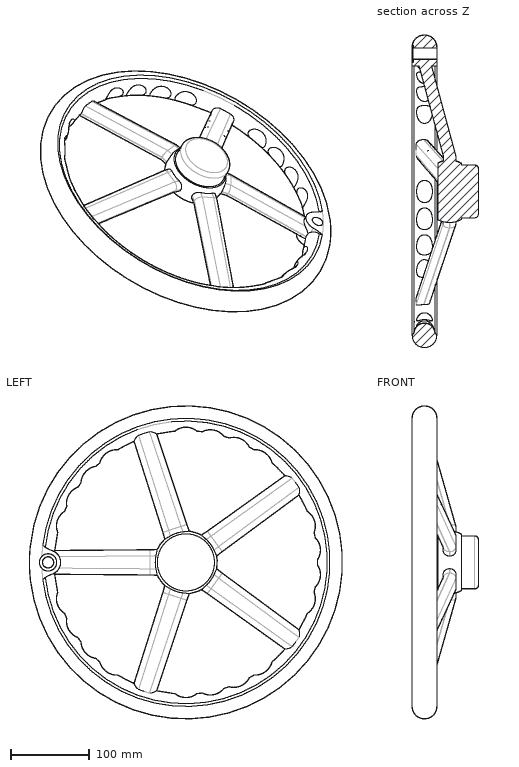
import cadquery as cq
import math


rim_outer_radius = 200.0
rim_tube_radius = 16.0
rim_width = 2 * rim_tube_radius
rim_crest_radius = rim_outer_radius - rim_tube_radius
rim_inner_radius = rim_crest_radius - rim_tube_radius
rim_ledge_radius = 180.5
rim_ledge_depth = 2.5

grip_radius = 22.0
grip_depth = 4.5
grips_per_sector = 4
grip_pitch = 12.0

hub_face_x = 33.0
hub_face_radius = 36.5
hub_bulge_x = 48.0
hub_bulge_radius = 40.2
hub_shoulder_x = 63.5
hub_shoulder_radius = 36.0
hub_neck_radius = 68.0 / 2
hub_neck_fillet = 5.0
hub_end_x = 85.0

spoke_count = 5
spoke_pitch = 360.0 / spoke_count
spoke_thickness = 16.5
spoke_corner_radius = 8.0
spoke_stub_width = 34.0
spoke_bend_width = 32.5
spoke_rim_width = 30.5
spoke_stub_x = 48.0
spoke_rim_x = 12.0
spoke_root_radius = 25.0
spoke_bend_radius = 45.6
spoke_tip_radius = 179.0

boss_center_radius = 176.0
boss_radius = 16.0
boss_hole_diameter = 14.0
spotface_diameter = 22.1
spotface_depth = 1.5
ear_start = (170.1, 14.8)
ear_middle = (176.2, 17.3)
ear_half_span = 21.8


def turn(body, angle):
    return body.rotate((0, 0, 0), (1, 0, 0), angle)


def make_rim():
    far_ledge_x = rim_width - rim_ledge_depth
    profile = (
        cq.Workplane("XY")
        .moveTo(0, rim_crest_radius)
        .threePointArc((rim_tube_radius, rim_outer_radius), (rim_width, rim_crest_radius))
        .lineTo(far_ledge_x, rim_ledge_radius)
        .threePointArc((rim_tube_radius, rim_inner_radius), (rim_ledge_depth, rim_ledge_radius))
        .close()
    )
    return profile.revolve(360, (0, 0, 0), (1, 0, 0))


def make_hub():
    body = (
        cq.Workplane("XY")
        .moveTo(hub_face_x, 0)
        .lineTo(hub_face_x, hub_face_radius)
        .threePointArc((hub_bulge_x, hub_bulge_radius), (hub_shoulder_x, hub_shoulder_radius))
        .lineTo(hub_shoulder_x, hub_neck_radius)
        .lineTo(hub_end_x, hub_neck_radius)
        .lineTo(hub_end_x, 0)
        .close()
        .revolve(360, (0, 0, 0), (1, 0, 0))
    )
    return body.faces(">X").edges().fillet(hub_neck_fillet)


def spoke_section(width):
    return cq.Sketch().rect(spoke_thickness, width).vertices().fillet(spoke_corner_radius)


def loft_spoke(start, end):
    """Loft along +Y between two (x, radius, width) stations."""
    start_x, start_radius, start_width = start
    end_x, end_radius, end_width = end
    plane = cq.Plane(origin=(start_x, start_radius, 0), xDir=(-1, 0, 0), normal=(0, 1, 0))
    shift = cq.Location(cq.Vector(start_x - end_x, 0, end_radius - start_radius))
    sections = (spoke_section(start_width), spoke_section(end_width).moved(shift))
    return cq.Workplane(plane).placeSketch(*sections).loft()


def make_spoke():
    root = (spoke_stub_x, spoke_root_radius, spoke_stub_width)
    bend = (spoke_stub_x, spoke_bend_radius, spoke_bend_width)
    tip = (spoke_rim_x, spoke_tip_radius, spoke_rim_width)
    return loft_spoke(root, bend).union(loft_spoke(bend, tip))


def boss_cutter(diameter, depth):
    return cq.Workplane("YZ").center(boss_center_radius, 0).circle(diameter / 2).extrude(depth)


def make_boss():
    """Round boss with concave ears that run out along the crest circle of the rim."""
    ear_tip = (math.sqrt(rim_crest_radius**2 - ear_half_span**2), ear_half_span)
    mirrored_start, mirrored_middle, mirrored_tip = [(y, -z) for y, z in (ear_start, ear_middle, ear_tip)]
    return (
        cq.Workplane("YZ")
        .moveTo(*ear_tip)
        .threePointArc(ear_middle, ear_start)
        .threePointArc((boss_center_radius - boss_radius, 0), mirrored_start)
        .threePointArc(mirrored_middle, mirrored_tip)
        .threePointArc((rim_crest_radius, 0), ear_tip)
        .close()
        .extrude(rim_width)
    )


def cut_grips(rim):
    grip_center = rim_inner_radius + grip_depth - grip_radius
    cutter = cq.Workplane("YZ").center(grip_center, 0).circle(grip_radius).extrude(rim_width)
    first_grip_angle = (spoke_pitch - (grips_per_sector - 1) * grip_pitch) / 2
    for sector in range(spoke_count):
        for grip in range(grips_per_sector):
            rim = rim.cut(turn(cutter, sector * spoke_pitch + first_grip_angle + grip * grip_pitch))
    return rim


result = cut_grips(make_rim()).union(make_hub())
spoke = make_spoke()
for spoke_number in range(spoke_count):
    result = result.union(turn(spoke, spoke_number * spoke_pitch))
result = result.union(make_boss())
result = result.cut(boss_cutter(boss_hole_diameter, rim_width))
result = result.cut(boss_cutter(spotface_diameter, spotface_depth))